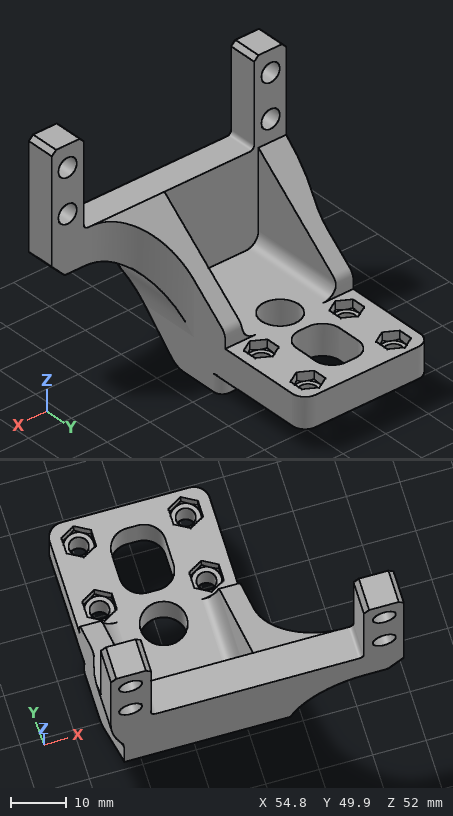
import cadquery as cq
import math

LENGTH = 54.8
DEPTH = 49.9
HEIGHT = 52.0

WALL_THICKNESS = 6.45
WALL_TOP = 32.0
ARM_WIDTH = 7.5
ARM_CHAMFER = 1.0
NOTCH_FILLET = 1.0
WALL_RIGHT_UNDERSIDE = 24.0
WALL_RIGHT_CHAMFER = 3.0
GUSSET_RADIUS = 15.0
REAR_GUSSET_RADIUS = 13.0

UPPER_CURVE_RADIUS = 20.0
LOWER_CURVE_RADIUS = UPPER_CURVE_RADIUS / 2

BASE_LEFT = 2.5
BASE_WIDTH = 30.0
BASE_RIGHT = BASE_LEFT + BASE_WIDTH
BASE_CENTER = BASE_LEFT + BASE_WIDTH / 2
PLATE_TOP = 11.0
PLATE_BOTTOM = 4.0
PLATE_CORNER_RADIUS = 3.0

RIB_BACK = 28.2
RIB_BACK_TOP = 14.3
RIB_BACK_FILLET = 2.75
FRONT_BEVEL = 14.6
FRONT_BEVEL_FILLET = 5.0
FEET_BACK = 27.0
FEET_CORNER_RADIUS = 2.05
FEET_GAP = 10.85

RIB_THICKNESS = 4.0
CHANNEL_WIDTH = BASE_WIDTH - 2 * RIB_THICKNESS
CHANNEL_FILLET = 3.0

ARM_HOLE_DIAMETER = 4.3
ARM_HOLE_INSET = 3.65
ARM_HOLE_DROP = 5.0
ARM_HOLE_SPACING = 10.05

BOLT_DIAMETER = 3.6
BOLT_SPACING_X = 20.0
BOLT_SPACING_Y = 13.05
BOLT_CENTER_Y = 38.85
NUT_FLATS = 5.55
NUT_CORNERS = NUT_FLATS / math.cos(math.pi / 6)
NUT_DEPTH = 2.1
NUT_CONE_TAPER = 60.0
WINDOW_WIDTH = 10.05
WINDOW_LENGTH = 13.15
WINDOW_CORNER_RADIUS = 4.0
ROUND_HOLE_DIAMETER = 8.6
ROUND_HOLE_Y = 25.65


def front_outline():
    """Outline of wall, arms and base in XZ, extruded over the whole depth."""
    turn = math.acos(1 - BASE_LEFT / (UPPER_CURVE_RADIUS + LOWER_CURVE_RADIUS))

    def curve_step(radius, angle):
        return radius * (1 - math.cos(angle)), radius * math.sin(angle)

    upper_mid = curve_step(UPPER_CURVE_RADIUS, turn / 2)
    upper_end = curve_step(UPPER_CURVE_RADIUS, turn)
    lower_mid = curve_step(LOWER_CURVE_RADIUS, turn / 2)
    lower_end = curve_step(LOWER_CURVE_RADIUS, turn)
    curve_bottom = WALL_TOP - upper_end[1] - lower_end[1]

    gusset_x = BASE_RIGHT + GUSSET_RADIUS
    gusset_z = WALL_RIGHT_UNDERSIDE - GUSSET_RADIUS
    gusset_diagonal = GUSSET_RADIUS * math.sqrt(0.5)
    return (
        cq.Workplane("XZ")
        .moveTo(BASE_LEFT, 0)
        .lineTo(BASE_RIGHT, 0)
        .lineTo(BASE_RIGHT, gusset_z)
        .threePointArc(
            (gusset_x - gusset_diagonal, gusset_z + gusset_diagonal),
            (gusset_x, WALL_RIGHT_UNDERSIDE),
        )
        .lineTo(LENGTH - WALL_RIGHT_CHAMFER, WALL_RIGHT_UNDERSIDE)
        .lineTo(LENGTH, WALL_RIGHT_UNDERSIDE + WALL_RIGHT_CHAMFER)
        .lineTo(LENGTH, HEIGHT)
        .lineTo(0, HEIGHT)
        .lineTo(0, WALL_TOP)
        .threePointArc(
            (upper_mid[0], WALL_TOP - upper_mid[1]),
            (upper_end[0], WALL_TOP - upper_end[1]),
        )
        .threePointArc((BASE_LEFT - lower_mid[0], curve_bottom + lower_mid[1]), (BASE_LEFT, curve_bottom))
        .close()
        .extrude(-DEPTH)
    )


def side_outline():
    """Outline in YZ with the bevelled front, the sloping ribs and the plate, extruded along X."""
    profile = (
        cq.Workplane("YZ")
        .moveTo(0, FRONT_BEVEL)
        .lineTo(FRONT_BEVEL, 0)
        .lineTo(FEET_BACK, 0)
        .lineTo(FEET_BACK, PLATE_BOTTOM)
        .lineTo(DEPTH, PLATE_BOTTOM)
        .lineTo(DEPTH, PLATE_TOP)
        .lineTo(RIB_BACK, PLATE_TOP)
        .lineTo(RIB_BACK, RIB_BACK_TOP)
        .lineTo(WALL_THICKNESS, WALL_TOP)
        .lineTo(WALL_THICKNESS, HEIGHT)
        .lineTo(0, HEIGHT)
        .close()
        .extrude(LENGTH)
    )
    profile = edge_along_x(profile, FRONT_BEVEL, 0).fillet(FRONT_BEVEL_FILLET)
    return edge_along_x(profile, RIB_BACK, RIB_BACK_TOP).fillet(RIB_BACK_FILLET)


def rear_gusset_cutter():
    """Space behind the wall and right of the base, rounded in plan where the two meet."""
    return (
        cq.Workplane("XY", origin=(BASE_RIGHT, WALL_THICKNESS, 0))
        .box(LENGTH - BASE_RIGHT, DEPTH - WALL_THICKNESS, HEIGHT, centered=False)
        .edges("|Z and <X and <Y")
        .fillet(REAR_GUSSET_RADIUS)
    )


def edge_along_x(body, y, z):
    """Select the edge parallel to X that passes through the given Y and Z."""
    return body.edges("|X").edges(cq.selectors.NearestToPointSelector((LENGTH / 2, y, z)))


def arm_notch():
    """Opening between the arms, rounded at its two lower corners."""
    width = LENGTH - 2 * ARM_WIDTH
    return (
        cq.Workplane("XY", origin=(LENGTH / 2, WALL_THICKNESS / 2, WALL_TOP))
        .box(width, WALL_THICKNESS, HEIGHT - WALL_TOP, centered=(True, True, False))
        .edges("|Y and <Z")
        .fillet(NOTCH_FILLET)
    )


def rib_channel():
    """Trough behind the wall, rounded where the ribs meet its floor."""
    return (
        cq.Workplane("XY", origin=(BASE_CENTER, WALL_THICKNESS, PLATE_TOP))
        .box(CHANNEL_WIDTH, RIB_BACK - WALL_THICKNESS, HEIGHT, centered=(True, False, False))
        .edges("|Y and <Z")
        .fillet(CHANNEL_FILLET)
    )


def feet_gap():
    """Slot along Y that splits the block under the plate into two feet."""
    return cq.Workplane("XY", origin=(BASE_CENTER, 0, 0)).box(
        FEET_GAP, DEPTH, PLATE_BOTTOM, centered=(True, False, False)
    )


def arm_holes():
    """Two holes along Y through each arm."""
    top_hole = HEIGHT - ARM_HOLE_DROP
    points = [
        (x, z)
        for x in (ARM_HOLE_INSET, LENGTH - ARM_HOLE_INSET)
        for z in (top_hole, top_hole - ARM_HOLE_SPACING)
    ]
    return cq.Workplane("XZ").pushPoints(points).circle(ARM_HOLE_DIAMETER / 2).extrude(-WALL_THICKNESS)


def plate_openings():
    """Bolt holes with hexagonal nut pockets, the rounded window and the round hole."""
    bolt_plane = cq.Workplane("XY", origin=(BASE_CENTER, BOLT_CENTER_Y, 0))
    bolts = (
        bolt_plane.rarray(BOLT_SPACING_X, BOLT_SPACING_Y, 2, 2)
        .circle(BOLT_DIAMETER / 2)
        .extrude(PLATE_TOP)
    )
    nuts = (
        bolt_plane.workplane(offset=PLATE_TOP - NUT_DEPTH)
        .transformed(rotate=(0, 0, 90))
        .rarray(BOLT_SPACING_Y, BOLT_SPACING_X, 2, 2)
        .polygon(6, NUT_CORNERS)
        .extrude(NUT_DEPTH)
    )
    nut_cones = (
        bolt_plane.workplane(offset=PLATE_TOP - NUT_DEPTH)
        .rarray(BOLT_SPACING_X, BOLT_SPACING_Y, 2, 2)
        .circle(NUT_FLATS / 2)
        .extrude(NUT_DEPTH, taper=-NUT_CONE_TAPER)
    )
    nuts = nuts.intersect(nut_cones)
    window = (
        bolt_plane.rect(WINDOW_WIDTH, WINDOW_LENGTH)
        .extrude(PLATE_TOP)
        .edges("|Z")
        .fillet(WINDOW_CORNER_RADIUS)
    )
    round_hole = (
        cq.Workplane("XY", origin=(BASE_CENTER, ROUND_HOLE_Y, 0))
        .circle(ROUND_HOLE_DIAMETER / 2)
        .extrude(PLATE_TOP)
    )
    return bolts.union(nuts).union(window).union(round_hole)


body = front_outline().intersect(side_outline())
body = body.cut(rear_gusset_cutter())
body = body.edges("|Z and >Y").fillet(PLATE_CORNER_RADIUS)
for foot_x in (BASE_LEFT, BASE_RIGHT):
    foot_edge = cq.selectors.NearestToPointSelector((foot_x, FEET_BACK, PLATE_BOTTOM / 2))
    body = body.edges("|Z").edges(foot_edge).fillet(FEET_CORNER_RADIUS)

body = body.cut(arm_notch())
body = body.edges("|Y and >Z").chamfer(ARM_CHAMFER)
body = body.cut(rib_channel())
body = body.cut(feet_gap())
body = body.cut(arm_holes())
result = body.cut(plate_openings())